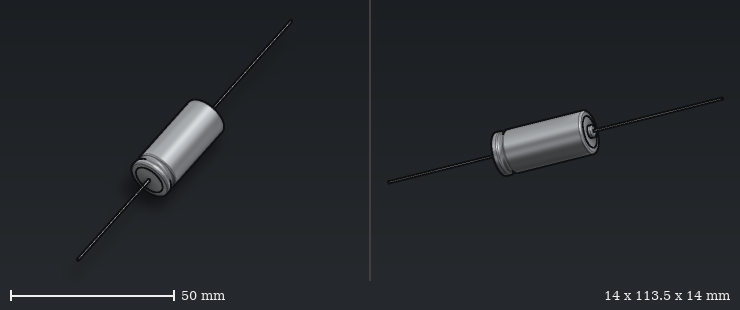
import cadquery as cq

TOTAL_LENGTH = 113.5
FRONT_LEAD_LENGTH = 38.0
SLEEVE_LENGTH = 30.4
BUSHING_LENGTH = 1.4

SLEEVE_DIAMETER = 14.0
CORE_DIAMETER = 10.0
BUSHING_DIAMETER = 4.0
LEAD_DIAMETER = 0.8

LIP_LENGTH = 1.9
GROOVE_WIDTH = 2.0
GROOVE_DEPTH = 0.7
GROOVE_EDGE_RADIUS = 0.6
FRONT_EDGE_RADIUS = 0.5
REAR_EDGE_RADIUS = 0.7
BUSHING_EDGE_RADIUS = 0.5

LEAD_FRONT_Y = -TOTAL_LENGTH / 2
SLEEVE_FRONT_Y = LEAD_FRONT_Y + FRONT_LEAD_LENGTH
SLEEVE_REAR_Y = SLEEVE_FRONT_Y + SLEEVE_LENGTH
GROOVE_START_Y = SLEEVE_FRONT_Y + LIP_LENGTH
GROOVE_END_Y = GROOVE_START_Y + GROOVE_WIDTH
GROOVE_MIDDLE_Y = (GROOVE_START_Y + GROOVE_END_Y) / 2


def rod(diameter, start_y, length):
    """Solid cylinder on the Y axis, running toward +Y from start_y."""
    plane = cq.Plane(origin=(0, start_y, 0), xDir=(1, 0, 0), normal=(0, 1, 0))
    return cq.Workplane(plane).circle(diameter / 2).extrude(length)


def crimp_groove():
    """Round-bottomed ring that is cut from the outside of the sleeve."""
    outer_radius = SLEEVE_DIAMETER / 2
    return (
        cq.Workplane("XY")
        .moveTo(outer_radius, GROOVE_START_Y)
        .threePointArc((outer_radius - GROOVE_DEPTH, GROOVE_MIDDLE_Y), (outer_radius, GROOVE_END_Y))
        .close()
        .revolve(360, (0, 0, 0), (0, 1, 0))
    )


def groove_rims():
    """Selector for the two circular rims of the groove, whose centers lie on the Y axis."""
    reach = GROOVE_WIDTH
    return cq.selectors.BoxSelector(
        (-reach, GROOVE_MIDDLE_Y - reach, -reach),
        (reach, GROOVE_MIDDLE_Y + reach, reach),
    )


def make_sleeve():
    """Tube with rounded ends, a crimp groove and a straight bore for the core."""
    sleeve = rod(SLEEVE_DIAMETER, SLEEVE_FRONT_Y, SLEEVE_LENGTH)
    sleeve = sleeve.cut(crimp_groove())
    sleeve = sleeve.edges(groove_rims()).fillet(GROOVE_EDGE_RADIUS)
    sleeve = sleeve.faces("<Y").edges().fillet(FRONT_EDGE_RADIUS)
    sleeve = sleeve.faces(">Y").edges().fillet(REAR_EDGE_RADIUS)
    return sleeve.cut(rod(CORE_DIAMETER, SLEEVE_FRONT_Y, SLEEVE_LENGTH))


def make_core():
    """Core that fills the sleeve, with its rear bushing and the lead at each end."""
    core = rod(CORE_DIAMETER, SLEEVE_FRONT_Y, SLEEVE_LENGTH)
    bushing = rod(BUSHING_DIAMETER, SLEEVE_REAR_Y, BUSHING_LENGTH)
    bushing = bushing.faces(">Y").edges().fillet(BUSHING_EDGE_RADIUS)
    leads = rod(LEAD_DIAMETER, LEAD_FRONT_Y, TOTAL_LENGTH)
    return core.union(bushing).union(leads)


sleeve = make_sleeve().solids()
core = make_core().solids()

result = cq.Compound.makeCompound([sleeve.val(), core.val()])